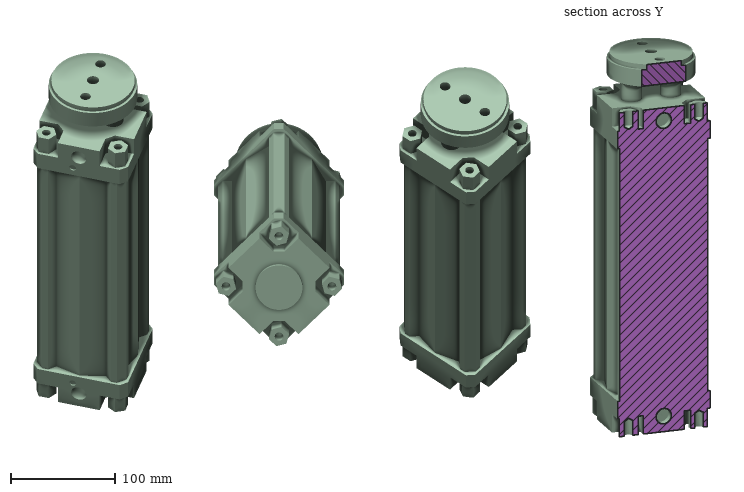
import cadquery as cq
import math

total_height = 378.0
spigot_height = 4.0
cap_height = 36.5
lower_cap_bottom = spigot_height
lower_cap_top = lower_cap_bottom + cap_height
upper_cap_top = 332.3
upper_cap_bottom = upper_cap_top - cap_height

corner_count = 4
quarter_turn = 360 / corner_count

cap_width = 95.0
cap_corner_chamfer = 6.5
pocket_size = 26.5
pocket_depth = 18.5
pocket_inner_chamfer = 7.5
spigot_diameter = 45.0

nut_offset = 36.0
nut_sides = 6
nut_across_flats = 17.5
nut_across_corners = nut_across_flats / math.cos(math.pi / nut_sides)
nut_hole_diameter = 8.5
nut_hole_depth = 15.0
drill_point_angle = 118.0

port_diameter = 15.0
port_depth = 19.0
port_inset_upper = 13.2
port_inset_lower = 16.0
screw_hole_diameter = 6.5
screw_hole_depth = 1.5
screw_hole_inset = 27.5
screw_hole_x = -6.0

barrel_half_width = 45.0
post_corner_chamfer = 7.5
post_flat_width = 6.0
post_inner_chamfer = 6.5

rod_diameter = 20.0
rod_offset = 20.0
plate_bottom = 356.0
plate_diameter = 85.0
plate_rim_diameter = 80.0
plate_rim_height = 5.0
center_hole_diameter = 11.7
mount_hole_diameter = 10.2
mount_hole_offset = 25.0


def cylinder(diameter, bottom, top):
    """Vertical cylinder on the Z axis."""
    return cq.Workplane("XY").workplane(offset=bottom).circle(diameter / 2).extrude(top - bottom)


def make_barrel():
    """Barrel whose outline repeats one side profile four times around Z."""
    flat_outer = barrel_half_width - post_corner_chamfer
    flat_inner = flat_outer - post_flat_width
    side_profile = [
        (-flat_outer, -barrel_half_width),
        (-flat_inner, -barrel_half_width),
        (-flat_inner + post_inner_chamfer, -barrel_half_width + post_inner_chamfer),
        (0, -barrel_half_width),
        (flat_inner - post_inner_chamfer, -barrel_half_width + post_inner_chamfer),
        (flat_inner, -barrel_half_width),
        (flat_outer, -barrel_half_width),
    ]
    outline = []
    for turn in range(corner_count):
        angle = math.radians(quarter_turn * turn)
        for x, y in side_profile:
            outline.append((x * math.cos(angle) - y * math.sin(angle),
                            x * math.sin(angle) + y * math.cos(angle)))
    return (cq.Workplane("XY").workplane(offset=lower_cap_top)
            .polyline(outline).close().extrude(upper_cap_bottom - lower_cap_top))


def make_pocket():
    """Corner pocket cutter reaching down from Z = 0 in the -X -Y corner of a cap."""
    return (cq.Workplane("XY").rect(2 * pocket_size, 2 * pocket_size).extrude(-pocket_depth)
            .edges("|Z and >X and >Y").chamfer(pocket_inner_chamfer)
            .translate((-cap_width / 2, -cap_width / 2, 0)))


def make_nut():
    """Hexagonal nut and the cutter for its drilled hole, top at Z = 0, in the -X -Y corner of a cap."""
    hole_radius = nut_hole_diameter / 2
    point_depth = hole_radius / math.tan(math.radians(drill_point_angle / 2))
    drill = (cq.Workplane("XZ")
             .polyline([(0, 0), (hole_radius, 0), (hole_radius, -nut_hole_depth),
                        (0, -nut_hole_depth - point_depth)])
             .close().revolve(360, (0, 0), (0, 1)))
    nut = cq.Workplane("XY").polygon(nut_sides, nut_across_corners).extrude(-pocket_depth)
    corner = (-nut_offset, -nut_offset, 0)
    return nut.translate(corner), drill.translate(corner)


def side_hole(x, z, diameter, depth):
    """Cutter for a blind hole entering the -Y side of a cap."""
    return (cq.Workplane("XZ", origin=(0, -cap_width / 2, 0))
            .center(x, z).circle(diameter / 2).extrude(-depth))


def make_cap(port_inset):
    """End cap with its outer face at Z = 0 and its body below."""
    cap = (cq.Workplane("XY").rect(cap_width, cap_width).extrude(-cap_height)
           .edges("|Z").chamfer(cap_corner_chamfer))
    pocket = make_pocket()
    nut, drill = make_nut()
    for turn in range(corner_count):
        spin = ((0, 0, 0), (0, 0, 1), quarter_turn * turn)
        cap = cap.cut(pocket.rotate(*spin)).union(nut.rotate(*spin)).cut(drill.rotate(*spin))
    port = side_hole(0, -port_inset, port_diameter, port_depth)
    screw_hole = side_hole(screw_hole_x, -screw_hole_inset, screw_hole_diameter, screw_hole_depth)
    return cap.cut(port).cut(screw_hole)


def make_housing():
    """Barrel, both end caps with their nuts, and the bottom centring spigot."""
    upper_cap = make_cap(port_inset_upper).translate((0, 0, upper_cap_top))
    lower_cap = make_cap(port_inset_lower).mirror("XY").translate((0, 0, lower_cap_bottom))
    spigot = cylinder(spigot_diameter, 0, spigot_height)
    return make_barrel().union(upper_cap).union(lower_cap).union(spigot)


def make_tool_plate():
    """Round plate with a stepped rim, carried by two rods that stand on the upper cap."""
    rim_bottom = total_height - plate_rim_height
    plate = cylinder(plate_diameter, plate_bottom, rim_bottom)
    plate = plate.union(cylinder(plate_rim_diameter, rim_bottom, total_height))
    plate = plate.cut(cylinder(center_hole_diameter, plate_bottom, total_height))
    for side in (-1, 1):
        rod = cylinder(rod_diameter, upper_cap_top, plate_bottom)
        mount_hole = cylinder(mount_hole_diameter, plate_bottom, total_height)
        plate = plate.union(rod.translate((side * rod_offset, 0, 0)))
        plate = plate.cut(mount_hole.translate((0, side * mount_hole_offset, 0)))
    return plate


housing = make_housing()
tool_plate = make_tool_plate()

result = cq.Compound.makeCompound([housing.val(), tool_plate.val()])